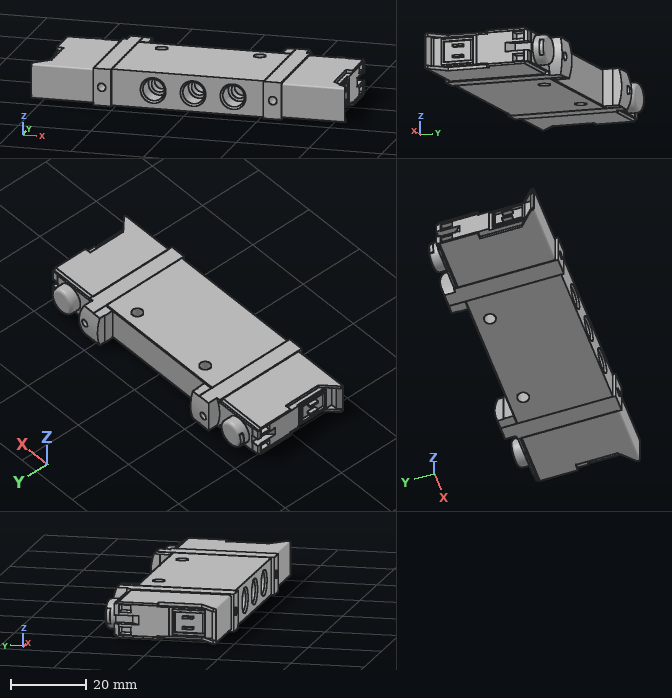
import cadquery as cq


arc_middle = 0.5 ** 0.5

total_length = 86.32
total_height = 10.25
total_width = 33.1
half_width = total_width / 2
tip_x = -total_length / 2
collar_half_height = total_height / 2
collar_step = 0.1
body_half_height = collar_half_height - collar_step

body_half_length = 21.0
body_front = -15.77
body_back = 11.2
body_back_chamfer = 0.2

collar_thickness = 4.85
collar_outer_x = -(body_half_length + collar_thickness)
screw_x = -23.55
screw_diameter = 2.2
lip_inner_x = -18.5
lip_root_x = -18.35
lip_step_y = 14.0
lip_side_round_y = 12.7
lip_crown_rise = 0.85
lip_side_sag = 1.1

port_pitch = 11.0
port_middle_x = 1.4
port_diameter = 5.92
port_mouth_diameter = 7.0
port_depth = 6.0
port_inner_diameter = 4.2
port_inner_depth = 3.0
port_tip_depth = 1.2
mount_diameter = 3.2
mount_x = 13.5
mount_y = 6.8

pilot_half_height = 4.85
pilot_end_x = -40.8
pilot_front = -15.8
pilot_back = 12.1
pilot_edge_z = 0.6
front_round_y = 0.85
back_bevel_y = 0.6
relief_x = -38.9
relief_back_y = 0.85
flange_slope_y = -10.85

core_half_height = 3.95
terminal_back_y = -2.2
terminal_face_x = -40.1
hook_root_y = -14.4
hook_tip_y = -15.6

plate_half_height = pilot_half_height - pilot_edge_z
plate_back = 12.7
plate_end_back = 12.5
plate_step_x = -38.8

face_inset = 0.25
face_inset_back_y = 11.35
face_x = pilot_end_x + face_inset

window_back_y = 11.3
window_front_y = 8.1
window_inner_z = 2.0
window_outer_z = 4.0
window_depth = 3.0
slot_half_height = 1.2
slot_depth = 2.0
slot_floor_y = 8.1
slot_ramp_y = 6.0

frame_back_y = -3.2
frame_front_y = -12.1
frame_half_height = 3.5
socket_back_y = -3.75
socket_front_y = -11.55
socket_half_height = 2.8
socket_depth = 0.8
pin_back_y = -6.0
pin_front_y = -8.8
pin_tip_x = -41.0
pin_z = 1.45
pin_thickness = 0.5

knob_x = -33.6
knob_diameter = 8.1
knob_top_diameter = 5.92
knob_top_y = 15.95
knob_mark_width = 4.2
knob_mark_y = 14.5
knob_mark_depth = 0.25


def block(x0, x1, y0, y1, z0, z1):
    """Box between opposite corners."""
    return cq.Workplane("XY").box(x1 - x0, y1 - y0, z1 - z0, centered=False).translate((x0, y0, z0))


def centred_block(x0, x1, y0, y1, half_height):
    """Box that is symmetric about Z = 0."""
    return block(x0, x1, y0, y1, -half_height, half_height)


def plan_prism(points, half_height):
    """XY outline extruded symmetrically about Z = 0."""
    return cq.Workplane("XY").polyline(points).close().extrude(half_height, both=True)


def y_cylinder(x, diameter, y0, y1):
    """Cylinder along Y, centred on Z = 0."""
    return cq.Workplane("XZ", origin=(x, y0, 0)).circle(diameter / 2).extrude(y0 - y1)


def make_body():
    """Plain centre block with its back edges broken."""
    body = centred_block(-body_half_length, body_half_length, body_front, body_back, body_half_height)
    return body.faces(">Y").edges("|X").chamfer(body_back_chamfer)


def make_collar():
    """Collar with an inward lip, a crowned back and a rounded outer side."""
    collar = centred_block(collar_outer_x, -body_half_length, -half_width, half_width, collar_half_height)
    lip_root = centred_block(-body_half_length, lip_root_x, body_back, lip_step_y, body_half_height)
    lip = centred_block(-body_half_length, lip_inner_x, lip_step_y, half_width, body_half_height)
    collar = collar.union(lip_root).union(lip)

    crown_edge_y = half_width - lip_crown_rise
    crown = (
        cq.Workplane("YZ", origin=(collar_outer_x, 0, 0))
        .moveTo(-half_width, -collar_half_height)
        .lineTo(crown_edge_y, -collar_half_height)
        .threePointArc((half_width, 0), (crown_edge_y, collar_half_height))
        .lineTo(-half_width, collar_half_height)
        .close()
        .extrude(lip_root_x - collar_outer_x)
    )
    collar = collar.intersect(crown)

    side_edge_x = collar_outer_x + lip_side_sag
    side_waste_depth = half_width - lip_side_round_y
    side_waste = centred_block(collar_outer_x, side_edge_x, lip_side_round_y, half_width, collar_half_height)
    side_round = (
        cq.Workplane("XZ", origin=(0, lip_side_round_y, 0))
        .moveTo(side_edge_x, -collar_half_height)
        .threePointArc((collar_outer_x, 0), (side_edge_x, collar_half_height))
        .close()
        .extrude(-side_waste_depth)
    )
    return collar.cut(side_waste.cut(side_round))


def make_pilot():
    """Pilot head block with rounded front edges, bevelled back edges and the tapered flange."""
    edge_z = pilot_half_height - pilot_edge_z
    front_round_top = pilot_front + front_round_y
    back_bevel_top = pilot_back - back_bevel_y
    round_middle_y = front_round_top - front_round_y * arc_middle
    round_middle_z = edge_z + pilot_edge_z * arc_middle
    section = (
        cq.Workplane("YZ", origin=(tip_x, 0, 0))
        .moveTo(pilot_front, -edge_z)
        .threePointArc((round_middle_y, -round_middle_z), (front_round_top, -pilot_half_height))
        .lineTo(back_bevel_top, -pilot_half_height)
        .lineTo(pilot_back, -edge_z)
        .lineTo(pilot_back, edge_z)
        .lineTo(back_bevel_top, pilot_half_height)
        .lineTo(front_round_top, pilot_half_height)
        .threePointArc((round_middle_y, round_middle_z), (pilot_front, edge_z))
        .close()
    )
    bar = section.extrude(collar_outer_x - tip_x)

    outline = [
        (collar_outer_x, pilot_front),
        (tip_x, pilot_front),
        (tip_x, front_round_top),
        (relief_x, flange_slope_y),
        (relief_x, relief_back_y),
        (pilot_end_x, relief_back_y),
        (pilot_end_x, pilot_back),
        (collar_outer_x, pilot_back),
    ]
    pilot = bar.intersect(plan_prism(outline, pilot_half_height))

    hook_slope_x = tip_x + hook_root_y - hook_tip_y
    hook_pocket = [
        (tip_x, flange_slope_y),
        (relief_x, flange_slope_y),
        (relief_x, hook_root_y),
        (hook_slope_x, hook_root_y),
        (tip_x, hook_tip_y),
    ]
    core = [
        (relief_x, hook_root_y),
        (terminal_face_x, hook_root_y),
        (terminal_face_x, terminal_back_y),
        (face_x, terminal_back_y),
        (face_x, relief_back_y),
        (relief_x, relief_back_y),
    ]
    pilot = pilot.cut(plan_prism(hook_pocket, core_half_height)).union(plan_prism(core, core_half_height))

    plate = centred_block(plate_step_x, collar_outer_x, pilot_back, plate_back, plate_half_height)
    plate_end = centred_block(pilot_end_x, plate_step_x, pilot_back, plate_end_back, plate_half_height)
    return pilot.union(plate).union(plate_end)


def cut_end_face(pilot):
    """Shallow face inset, two windows and the ramped slot."""
    pilot = pilot.cut(centred_block(pilot_end_x, face_x, relief_back_y, face_inset_back_y, plate_half_height))
    for z0, z1 in ((window_inner_z, window_outer_z), (-window_outer_z, -window_inner_z)):
        window = block(pilot_end_x, face_x + window_depth, window_front_y, window_back_y, z0, z1)
        pilot = pilot.cut(window)
    slot_floor_x = face_x + slot_depth
    slot = [
        (pilot_end_x, plate_back),
        (slot_floor_x, plate_back),
        (slot_floor_x, slot_floor_y),
        (face_x, slot_ramp_y),
        (pilot_end_x, slot_ramp_y),
    ]
    return pilot.cut(plan_prism(slot, slot_half_height))


def add_terminals(pilot):
    """Raised frame with a socket and two flat contact pins."""
    frame = centred_block(face_x, terminal_face_x, frame_front_y, frame_back_y, frame_half_height)
    socket_floor_x = face_x + socket_depth
    socket = centred_block(face_x, socket_floor_x, socket_front_y, socket_back_y, socket_half_height)
    pilot = pilot.union(frame).cut(socket)
    for z in (-pin_z, pin_z):
        z0 = z - pin_thickness / 2
        pin = block(pin_tip_x, socket_floor_x, pin_front_y, pin_back_y, z0, z0 + pin_thickness)
        pilot = pilot.union(pin)
    return pilot


def make_knob():
    """Round-shouldered knob with a shallow mark on its outer side."""
    radius = knob_diameter / 2
    shoulder_round = (knob_diameter - knob_top_diameter) / 2
    knob = y_cylinder(knob_x, knob_diameter, pilot_back, knob_top_y)
    knob = knob.faces(">Y").edges().fillet(shoulder_round)
    mark_core = y_cylinder(knob_x, knob_diameter - 2 * knob_mark_depth, knob_mark_y, knob_top_y)
    mark = centred_block(knob_x - radius, knob_x, knob_mark_y, knob_top_y, knob_mark_width / 2)
    return knob.cut(mark.cut(mark_core))


def make_port(x, has_drill_tip):
    """Chamfered port bore along Y; the drill-tip port ends in a cone."""
    mouth_radius = port_mouth_diameter / 2
    bore_radius = port_diameter / 2
    inner_radius = port_inner_diameter / 2
    mouth_depth = mouth_radius - bore_radius
    inner_end = port_depth + port_inner_depth
    axis_end = inner_end + port_tip_depth if has_drill_tip else inner_end
    profile = [
        (0, 0),
        (mouth_radius, 0),
        (bore_radius, mouth_depth),
        (bore_radius, port_depth),
        (inner_radius, port_depth),
        (inner_radius, inner_end),
        (0, axis_end),
    ]
    port = cq.Workplane("XY").polyline(profile).close().revolve(360, (0, 0, 0), (0, 1, 0))
    return port.translate((x, body_front, 0))


def make_end():
    """Complete -X end: collar, pilot head, knob and collar screw hole."""
    pilot = add_terminals(cut_end_face(make_pilot()))
    end = make_collar().union(pilot).union(make_knob())
    return end.cut(y_cylinder(screw_x, screw_diameter, -half_width, half_width))


def cut_ports(valve):
    """Row of three ports in the front face; only the middle one has a drill tip."""
    for index in (-1, 0, 1):
        port_x = port_middle_x + index * port_pitch
        valve = valve.cut(make_port(port_x, has_drill_tip=index == 0))
    return valve


def cut_mount_holes(valve):
    """Two mounting holes right through the body along Z."""
    for x in (-mount_x, mount_x):
        hole = cq.Workplane("XY").center(x, mount_y).circle(mount_diameter / 2)
        valve = valve.cut(hole.extrude(collar_half_height, both=True))
    return valve


left_end = make_end()
valve_blank = make_body().union(left_end).union(left_end.mirror("YZ"))
result = cut_mount_holes(cut_ports(valve_blank))